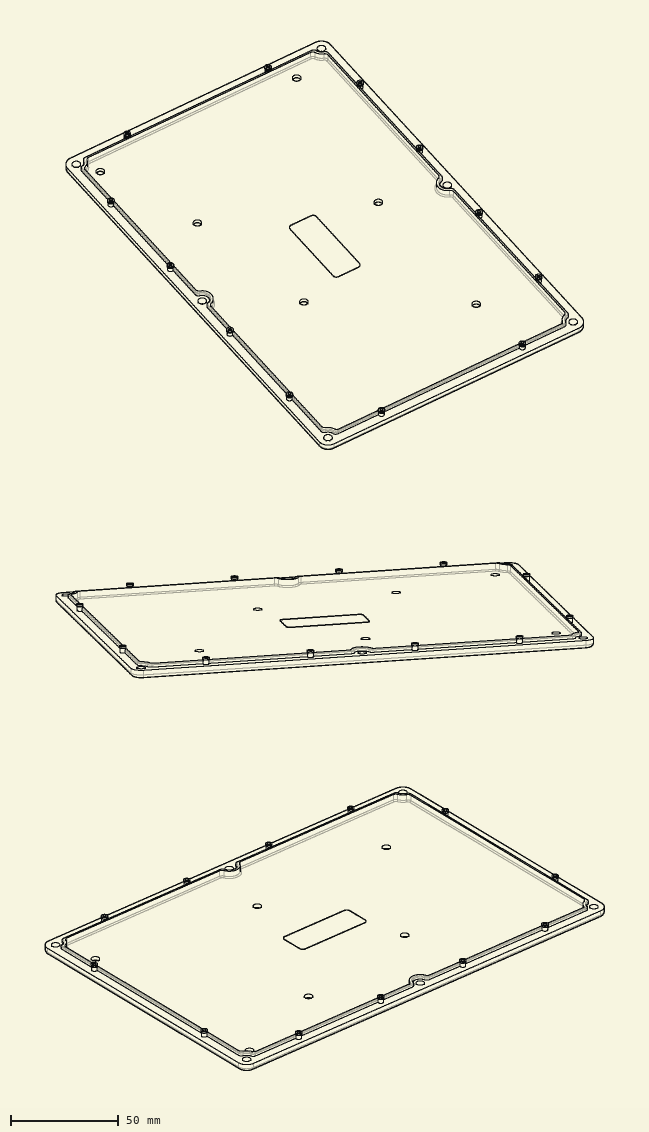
import cadquery as cq

length = 222.0
width = 146.0
flange_top = 4.0
corner_radius = 4.9
bottom_fillet = 1.8

rim_top = 5.5
rim_inset = 4.5
rim_thickness = 1.0
floor_top = 2.0
floor_fillet = 0.7
rim_lip_fillet = 0.5

hole_diameter = 4.0
screw_inset = 4.9
screw_clearance_radius = 3.5
bay_wall = 1.5
bay_corner_radius = 1.8

peg_top = 7.0
peg_inset = 3.8
peg_stem_diameter = 2.7
peg_head_diameter = 3.0
peg_head_height = 0.9
peg_bore_diameter = 1.5
long_side_peg_count = 4
long_side_peg_pitch = 50.2
short_side_peg_count = 2
short_side_peg_pitch = 78.4

floor_hole_centers = [
    (-98.1, 49.0),
    (-97.7, -60.4),
    (-45.0, -41.0),
    (-10.0, 36.5),
    (24.9, -28.0),
    (70.2, 38.0),
]

plate_length = 40.0
plate_width = 14.7
plate_corner_radius = 1.8
plate_depth = 0.2

screw_x = length / 2 - screw_inset
screw_y = width / 2 - screw_inset
screw_centers = [(x, y) for x in (-screw_x, 0, screw_x) for y in (-screw_y, screw_y)]


def block(inset, bottom, top):
    """Box inset evenly from the outer sides of the flange."""
    size_x = length - 2 * inset
    size_y = width - 2 * inset
    base = cq.Workplane("XY").workplane(offset=bottom)
    return base.rect(size_x, size_y).extrude(top - bottom)


def cylinders(centers, diameter, bottom, top):
    """Upright cylinders at the given centers."""
    base = cq.Workplane("XY").workplane(offset=bottom)
    return base.pushPoints(centers).circle(diameter / 2).extrude(top - bottom)


def make_flange():
    plate = block(0, 0, flange_top).edges("|Z").fillet(corner_radius)
    return plate.faces("<Z").edges().fillet(bottom_fillet)


def screw_hugging_block(inset, clearance_radius, bottom, top):
    """Inset box with a rounded bay scooped out around every screw hole."""
    bays = cylinders(screw_centers, 2 * clearance_radius, bottom, top)
    return block(inset, bottom, top).cut(bays).edges("|Z").fillet(bay_corner_radius)


def make_rim_body():
    body = screw_hugging_block(rim_inset, screw_clearance_radius, floor_top, rim_top)
    return body.faces(">Z").edges().fillet(rim_lip_fillet)


def make_cavity():
    inset = rim_inset + rim_thickness
    clearance_radius = screw_clearance_radius + bay_wall
    cavity = screw_hugging_block(inset, clearance_radius, floor_top, rim_top)
    return cavity.faces("<Z").edges().fillet(floor_fillet)


def centered_row(count, pitch):
    """Evenly spaced positions, symmetric about zero."""
    return [(i - (count - 1) / 2) * pitch for i in range(count)]


def make_pegs():
    """Mushroom pegs with a small blind bore in each head."""
    side_y = width / 2 - peg_inset
    side_x = length / 2 - peg_inset
    centers = []
    for side in (-1, 1):
        centers += [(x, side * side_y) for x in centered_row(long_side_peg_count, long_side_peg_pitch)]
        centers += [(side * side_x, y) for y in centered_row(short_side_peg_count, short_side_peg_pitch)]
    stems = cylinders(centers, peg_stem_diameter, flange_top, peg_top)
    heads = cylinders(centers, peg_head_diameter, peg_top - peg_head_height, peg_top)
    bores = cylinders(centers, peg_bore_diameter, peg_top - peg_head_height, peg_top)
    return stems.union(heads).cut(bores)


def make_plate_recess():
    recess = cq.Workplane("XY").workplane(offset=floor_top - plate_depth)
    recess = recess.rect(plate_length, plate_width).extrude(plate_depth)
    return recess.edges("|Z").fillet(plate_corner_radius)


result = make_flange().union(make_rim_body()).cut(make_cavity())
result = result.union(make_pegs()).cut(make_plate_recess())
result = result.cut(cylinders(screw_centers + floor_hole_centers, hole_diameter, 0, rim_top))